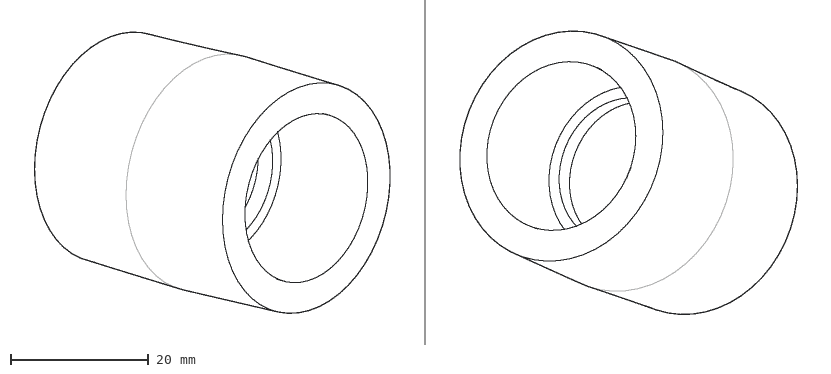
import cadquery as cq

LENGTH = 39.0
MIDDLE_DIAMETER = 35.1
END_DIAMETER = 34.1
BORE_DIAMETER = 21.6
SOCKET_DIAMETER = 25.0
SOCKET_DEPTH = 18.0

HALF_LENGTH = LENGTH / 2
STOP_HALF_WIDTH = HALF_LENGTH - SOCKET_DEPTH


def coupling_section():
    """Wall section in the XY plane on the -Y side of the axis."""
    end_y = -END_DIAMETER / 2
    middle_y = -MIDDLE_DIAMETER / 2
    socket_y = -SOCKET_DIAMETER / 2
    bore_y = -BORE_DIAMETER / 2
    return cq.Workplane("XY").polyline(
        [
            (-HALF_LENGTH, end_y),
            (0, middle_y),
            (HALF_LENGTH, end_y),
            (HALF_LENGTH, socket_y),
            (STOP_HALF_WIDTH, socket_y),
            (STOP_HALF_WIDTH, bore_y),
            (-STOP_HALF_WIDTH, bore_y),
            (-STOP_HALF_WIDTH, socket_y),
            (-HALF_LENGTH, socket_y),
        ]
    ).close()


result = coupling_section().revolve(360, (0, 0, 0), (1, 0, 0))